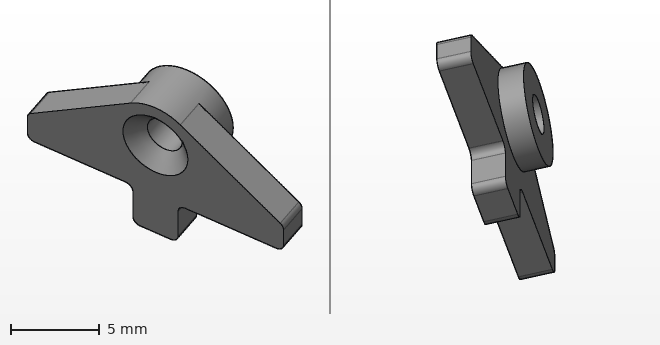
import cadquery as cq
import math

plate_thickness = 2.0
total_depth = 3.5
boss_radius = 3.0
half_span = 8.5
wing_corner_z = -2.0
wing_bottom_z = -4.0
tab_bottom_z = -7.0
tab_half_width = 1.5
corner_radius = 0.5
hole_diameter = 2.3
countersink_diameter = 4.3
countersink_angle = 90.0

corner_distance = math.hypot(half_span, wing_corner_z)
slope_angle = math.asin(boss_radius / corner_distance) - math.atan2(wing_corner_z, half_span)
tangent_x = boss_radius * math.sin(slope_angle)
tangent_z = boss_radius * math.cos(slope_angle)


def extrude_back(sketch, depth):
    """Extrude an XZ sketch from the front face toward +Y."""
    return sketch.extrude(-depth)


def make_plate():
    """Winged plate with a lower tab and rounded corners, cut straight across below the boss top."""
    outline = (
        cq.Workplane("XZ")
        .moveTo(-tangent_x, tangent_z)
        .lineTo(tangent_x, tangent_z)
        .lineTo(half_span, wing_corner_z)
        .lineTo(half_span, wing_bottom_z)
        .lineTo(tab_half_width, wing_bottom_z)
        .lineTo(tab_half_width, tab_bottom_z)
        .lineTo(-tab_half_width, tab_bottom_z)
        .lineTo(-tab_half_width, wing_bottom_z)
        .lineTo(-half_span, wing_bottom_z)
        .lineTo(-half_span, wing_corner_z)
        .close()
    )
    below_axis = cq.selectors.BoxSelector(
        (-2 * half_span, -total_depth, 2 * tab_bottom_z),
        (2 * half_span, total_depth, 0),
    )
    corners = cq.selectors.ParallelDirSelector(cq.Vector(0, 1, 0)) & below_axis
    return extrude_back(outline, plate_thickness).edges(corners).fillet(corner_radius)


def make_boss():
    """Round boss running from the front face to behind the plate; it also rounds the plate's top."""
    return extrude_back(cq.Workplane("XZ").circle(boss_radius), total_depth)


def cut_screw_hole(body):
    """Through hole countersunk from the front face."""
    return (
        body.faces("<Y")
        .workplane(origin=(0, 0, 0))
        .cskHole(hole_diameter, countersink_diameter, countersink_angle)
    )


result = cut_screw_hole(make_plate().union(make_boss()))